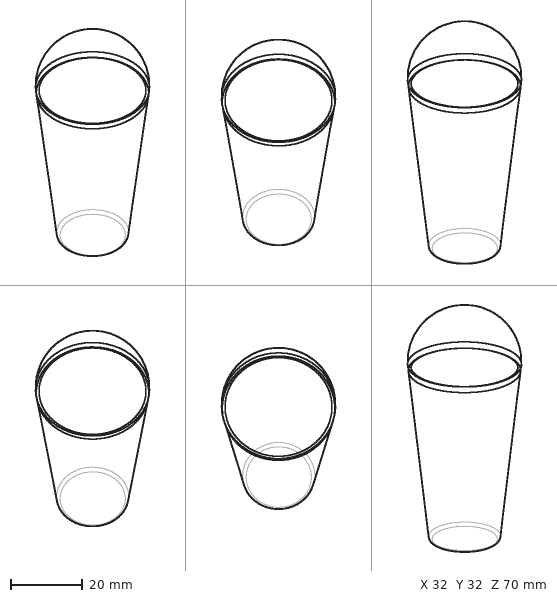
import cadquery as cq
import math

height = 70.0
dome_diameter = 32.0

groove_top = 53.2
groove_bottom = 51.4
groove_depth = 0.8

handle_top_radius = 15.75
base_radius = 10.0
base_fillet = 1.0

dome_radius = dome_diameter / 2
dome_center = height - dome_radius
dome_edge_radius = math.sqrt(dome_radius**2 - (dome_center - groove_top) ** 2)
groove_floor_radius = handle_top_radius - groove_depth
groove_middle = (groove_top + groove_bottom) / 2

profile = (
    cq.Workplane("XZ")
    .lineTo(base_radius, 0)
    .lineTo(handle_top_radius, groove_bottom)
    .threePointArc((groove_floor_radius, groove_middle), (dome_edge_radius, groove_top))
    .threePointArc((dome_radius, dome_center), (0, height))
    .close()
)
handle = profile.revolve(360, (0, 0, 0), (0, 1, 0))

result = handle.faces("<Z").edges().fillet(base_fillet)